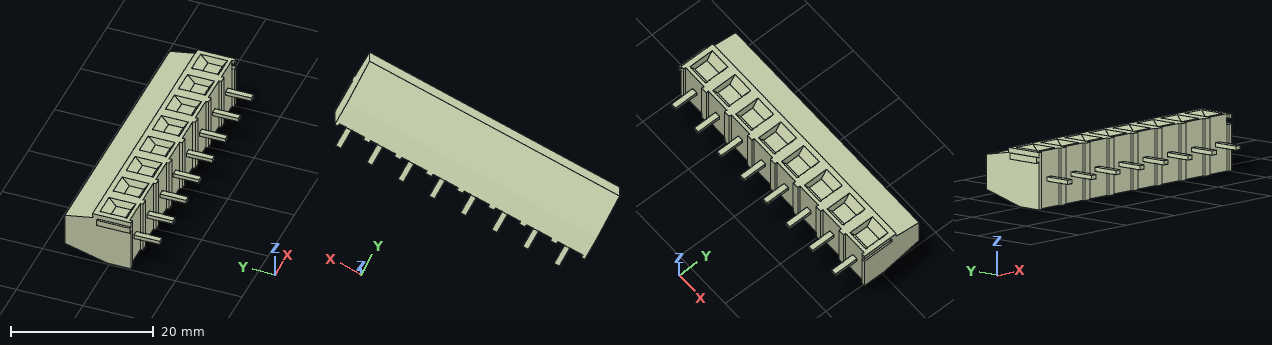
import cadquery as cq

WAYS = 8
PITCH = 5.0
END_MARGIN = 0.05
BODY_LENGTH = WAYS * PITCH + 2 * END_MARGIN

BODY_DEPTH = 10.0
BODY_HEIGHT = 8.2
STEP_Y = 5.8
STEP_Z = 7.5
BACK_TOP_Z = 6.7
BACK_BOTTOM_Z = 1.7
BASE_FLAT = 3.6

RIB_WIDTH = 1.0
RIB_HEIGHT = 0.4

OPENING_WIDTH = 3.4
OPENING_FRONT_Y = 0.95
OPENING_BACK_Y = 5.0
FLOOR_WIDTH = 2.8
FLOOR_FRONT_Y = 1.6
FLOOR_BACK_Y = 3.8
OPENING_DEPTH = 1.0

PIN_WIDTH = 0.9
PIN_THICKNESS = 0.6
PIN_LENGTH = 3.5
PIN_Z = 4.1

DOVETAIL_LENGTH = 5.0
DOVETAIL_Z = 7.15
DOVETAIL_WIDE = 0.9
DOVETAIL_NARROW = 0.6
RAIL_HEIGHT = 0.5
GROOVE_DEPTH = 0.6


def way_center(way):
    return END_MARGIN + (way + 0.5) * PITCH


def make_body():
    profile = [
        (0, 0),
        (BASE_FLAT, 0),
        (BODY_DEPTH, BACK_BOTTOM_Z),
        (BODY_DEPTH, BACK_TOP_Z),
        (STEP_Y, STEP_Z),
        (STEP_Y, BODY_HEIGHT),
        (0, BODY_HEIGHT),
    ]
    return cq.Workplane("YZ").polyline(profile).close().extrude(BODY_LENGTH)


def make_panel_recess(way):
    width = PITCH - RIB_WIDTH
    return cq.Workplane("XY").box(
        width, RIB_HEIGHT, BODY_HEIGHT, centered=(True, False, False)
    ).translate((way_center(way), 0, 0))


def make_opening(way):
    center_x = way_center(way)
    top_y = (OPENING_FRONT_Y + OPENING_BACK_Y) / 2
    floor_y = (FLOOR_FRONT_Y + FLOOR_BACK_Y) / 2
    return (
        cq.Workplane("XY", origin=(center_x, top_y, BODY_HEIGHT))
        .rect(OPENING_WIDTH, OPENING_BACK_Y - OPENING_FRONT_Y)
        .workplane(offset=-OPENING_DEPTH)
        .center(0, floor_y - top_y)
        .rect(FLOOR_WIDTH, FLOOR_BACK_Y - FLOOR_FRONT_Y)
        .loft(ruled=True)
    )


def make_pin(way):
    return cq.Workplane("XY").box(
        PIN_WIDTH, PIN_LENGTH + RIB_HEIGHT, PIN_THICKNESS, centered=(True, False, True)
    ).translate((way_center(way), -PIN_LENGTH, PIN_Z))


def make_dovetail(narrow_x, wide_x):
    """Dovetail bar running back from Y = 0, narrow at one X and wide at the other."""
    profile = [
        (narrow_x, DOVETAIL_Z - DOVETAIL_NARROW / 2),
        (wide_x, DOVETAIL_Z - DOVETAIL_WIDE / 2),
        (wide_x, DOVETAIL_Z + DOVETAIL_WIDE / 2),
        (narrow_x, DOVETAIL_Z + DOVETAIL_NARROW / 2),
    ]
    return cq.Workplane("XZ").polyline(profile).close().extrude(-DOVETAIL_LENGTH)


result = make_body()
for way in range(WAYS):
    result = result.cut(make_panel_recess(way))
    result = result.cut(make_opening(way))
    result = result.union(make_pin(way))
result = result.union(make_dovetail(0, -RAIL_HEIGHT))
result = result.cut(make_dovetail(BODY_LENGTH, BODY_LENGTH - GROOVE_DEPTH))